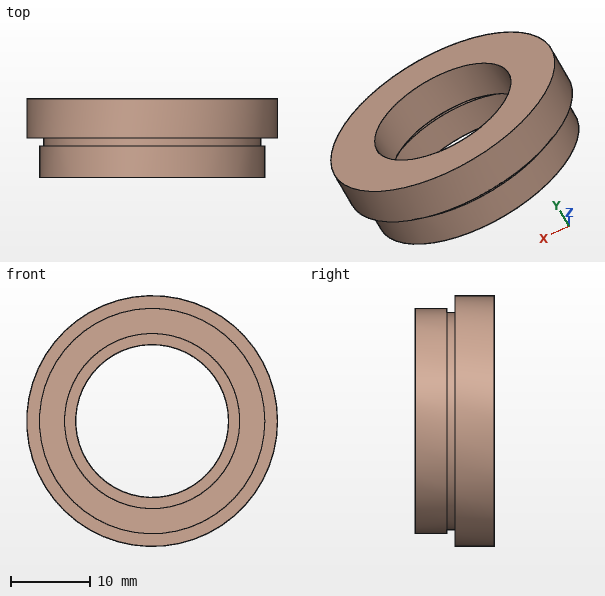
import cadquery as cq

outer_diameter = 31.75
spigot_diameter = 28.5
groove_diameter = 27.53
bore_diameter = 19.3
counterbore_diameter = 22.15
inner_groove_diameter = 23.15

total_length = 10.0
flange_length = total_length / 2
groove_width = total_length / 10
counterbore_depth = total_length - flange_length

spigot_face_y = -total_length / 2
flange_face_y = spigot_face_y + total_length - flange_length
groove_start_y = flange_face_y - groove_width
inner_groove_start_y = spigot_face_y + counterbore_depth - groove_width


def cylinder(diameter, start_y, length):
    """Solid cylinder on the Y axis, extending toward +Y from start_y."""
    plane = cq.Workplane("XZ", origin=(0, start_y, 0))
    return plane.circle(diameter / 2).extrude(-length)


flange = cylinder(outer_diameter, flange_face_y, flange_length)
groove_floor = cylinder(groove_diameter, groove_start_y, groove_width)
spigot = cylinder(spigot_diameter, spigot_face_y, groove_start_y - spigot_face_y)
body = flange.union(groove_floor).union(spigot)

bore = cylinder(bore_diameter, spigot_face_y, total_length)
counterbore = cylinder(counterbore_diameter, spigot_face_y, counterbore_depth)

inner_groove = cylinder(inner_groove_diameter, inner_groove_start_y, groove_width)

result = body.cut(bore).cut(counterbore).cut(inner_groove)